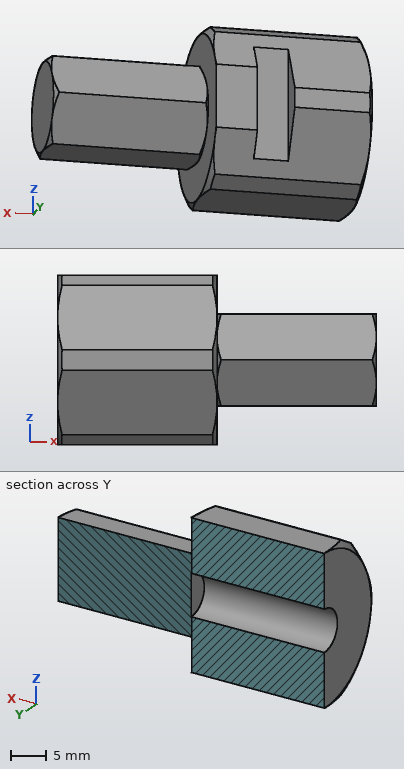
import cadquery as cq
import math

total_length = 45.0
housing_length = total_length / 2
shank_length = total_length - housing_length

housing_across_flats = 24.0
housing_across_corners = 26.0
corner_flat_turn = 30.0
shank_across_flats = 13.0
chamfer_angle = 30.0

bore_diameter = 6.65

slot_start = 11.5
slot_width = 5.0
slot_floor_y = 9.1
land_y = 11.15


def hex_corner_radius(across_flats):
    """Distance from the axis to a sharp hexagon corner."""
    return across_flats / math.sqrt(3)


def hex_bar(across_flats, length, turn=0.0):
    """Hexagonal bar along +X from the origin; an unturned bar has corners on Y."""
    corner_diameter = 2 * hex_corner_radius(across_flats)
    bar = cq.Workplane("YZ").polygon(6, corner_diameter).extrude(length)
    return bar.rotate((0, 0, 0), (1, 0, 0), turn)


def chamfer_envelope(across_flats, length):
    """Round bar with conical ends whose end circles touch the hexagon flats."""
    end_radius = across_flats / 2
    outer_radius = hex_corner_radius(across_flats)
    cone_length = (outer_radius - end_radius) * math.tan(math.radians(chamfer_angle))
    half_profile = [
        (0, 0),
        (0, end_radius),
        (cone_length, outer_radius),
        (length - cone_length, outer_radius),
        (length, end_radius),
        (length, 0),
    ]
    return cq.Workplane("XY").polyline(half_profile).close().revolve(360, (0, 0, 0), (1, 0, 0))


def corner_cut(x_start, x_end, floor_y):
    """Block that removes everything beyond floor_y between two X positions."""
    size = (x_end - x_start, housing_across_corners, housing_across_corners)
    block = cq.Workplane("XY").box(*size, centered=(False, False, True))
    return block.translate((x_start, floor_y, 0))


def make_housing():
    """Chamfered hexagon with blunted corners, a bore, a corner slot and a lowered land."""
    body = hex_bar(housing_across_flats, housing_length)
    body = body.intersect(hex_bar(housing_across_corners, housing_length, turn=corner_flat_turn))
    body = body.intersect(chamfer_envelope(housing_across_flats, housing_length))
    bore = cq.Workplane("YZ").circle(bore_diameter / 2).extrude(housing_length)
    slot_end = slot_start + slot_width
    body = body.cut(bore)
    body = body.cut(corner_cut(slot_start, slot_end, slot_floor_y))
    return body.cut(corner_cut(slot_end, housing_length, land_y))


def make_shank():
    """Solid hexagonal shank chamfered at both ends."""
    body = hex_bar(shank_across_flats, shank_length)
    body = body.intersect(chamfer_envelope(shank_across_flats, shank_length))
    return body.translate((housing_length, 0, 0))


housing = make_housing().solids()
shank = make_shank().solids()

result = cq.Compound.makeCompound([housing.val(), shank.val()])